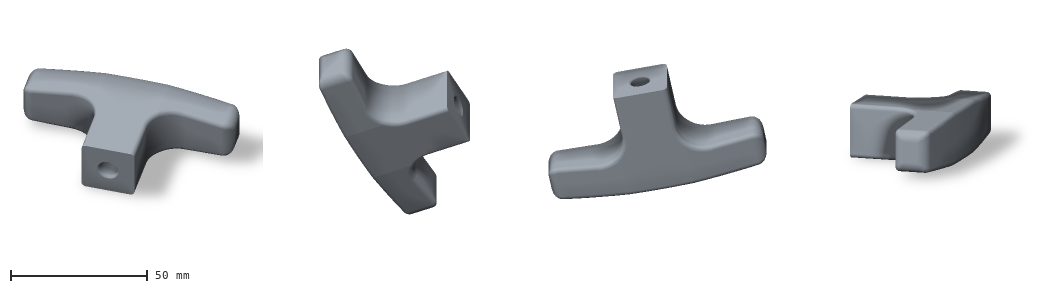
import cadquery as cq
import math

span = 80.0
height_y = 41.0
thickness = 20.0
stem_width = 20.0
half_span = span / 2
half_stem = stem_width / 2
half_thickness = thickness / 2

crown_drop = 2.2
arm_angle = 4.0
neck_radius = 10.4
neck_start = 16.6
flat_half_width = 12.0
taper_angle = 5.0

tip_radius = 4.0
edge_radius = 1.6

tolerance = 0.04
cross_limit = 0.04

mouth_diameter = 8.0
hole_diameter = 7.0
hole_depth = 16.0
drill_point_angle = 118.0


def make_outline():
    """T-shaped body with a crowned back and blended arms."""
    slope = math.radians(arm_angle)
    neck_x = half_stem + neck_radius
    mid = (math.pi + math.pi / 2 - slope) / 2
    blend_mid = (neck_x + neck_radius * math.cos(mid), neck_start + neck_radius * math.sin(mid))
    blend_end = (neck_x + neck_radius * math.sin(slope), neck_start + neck_radius * math.cos(slope))
    tip_low = blend_end[1] - (half_span - blend_end[0]) * math.tan(slope)
    tip_high = height_y - crown_drop
    return (
        cq.Workplane("XY")
        .workplane(offset=-half_thickness)
        .moveTo(-half_stem, 0)
        .lineTo(half_stem, 0)
        .lineTo(half_stem, neck_start)
        .threePointArc(blend_mid, blend_end)
        .lineTo(half_span, tip_low)
        .lineTo(half_span, tip_high)
        .threePointArc((0, height_y), (-half_span, tip_high))
        .lineTo(-half_span, tip_low)
        .lineTo(-blend_end[0], blend_end[1])
        .threePointArc((-blend_mid[0], blend_mid[1]), (-half_stem, neck_start))
        .close()
        .extrude(thickness)
    )


def make_taper_envelope():
    """Prism whose faces converge toward both arm tips."""
    tip_half = half_thickness - (half_span - flat_half_width) * math.tan(math.radians(taper_angle))
    return (
        cq.Workplane("XZ")
        .polyline([
            (-half_span, -tip_half),
            (-flat_half_width, -half_thickness),
            (flat_half_width, -half_thickness),
            (half_span, -tip_half),
            (half_span, tip_half),
            (flat_half_width, half_thickness),
            (-flat_half_width, half_thickness),
            (-half_span, tip_half),
        ])
        .close()
        .extrude(-height_y)
    )


def is_long_edge(edge):
    """True for edges running along the outline of the two broad faces."""
    center = edge.Center()
    box = edge.BoundingBox()
    runs_through_thickness = abs(center.z) < tolerance
    on_stem_end = center.y < tolerance
    crosses_arm = box.xlen < cross_limit and abs(center.x) > half_stem + tolerance
    return not (runs_through_thickness or on_stem_end or crosses_arm)


def round_edges(body):
    """Round the arm tips, then the long edges; the stem end stays sharp."""
    body = body.faces("<X or >X").edges().fillet(tip_radius)
    long_edges = [edge for edge in body.edges().vals() if is_long_edge(edge)]
    return body.newObject(long_edges).fillet(edge_radius)


def make_hole():
    """Blind drilled hole with a countersunk mouth and a conical bottom."""
    radius = hole_diameter / 2
    mouth = mouth_diameter / 2
    point = radius / math.tan(math.radians(drill_point_angle / 2))
    return (
        cq.Workplane("XY")
        .polyline([
            (0, 0), (mouth, 0), (radius, mouth - radius),
            (radius, hole_depth), (0, hole_depth + point),
        ])
        .close()
        .revolve(360, (0, 0, 0), (0, 1, 0))
    )


body = make_outline().intersect(make_taper_envelope())
result = round_edges(body).cut(make_hole())